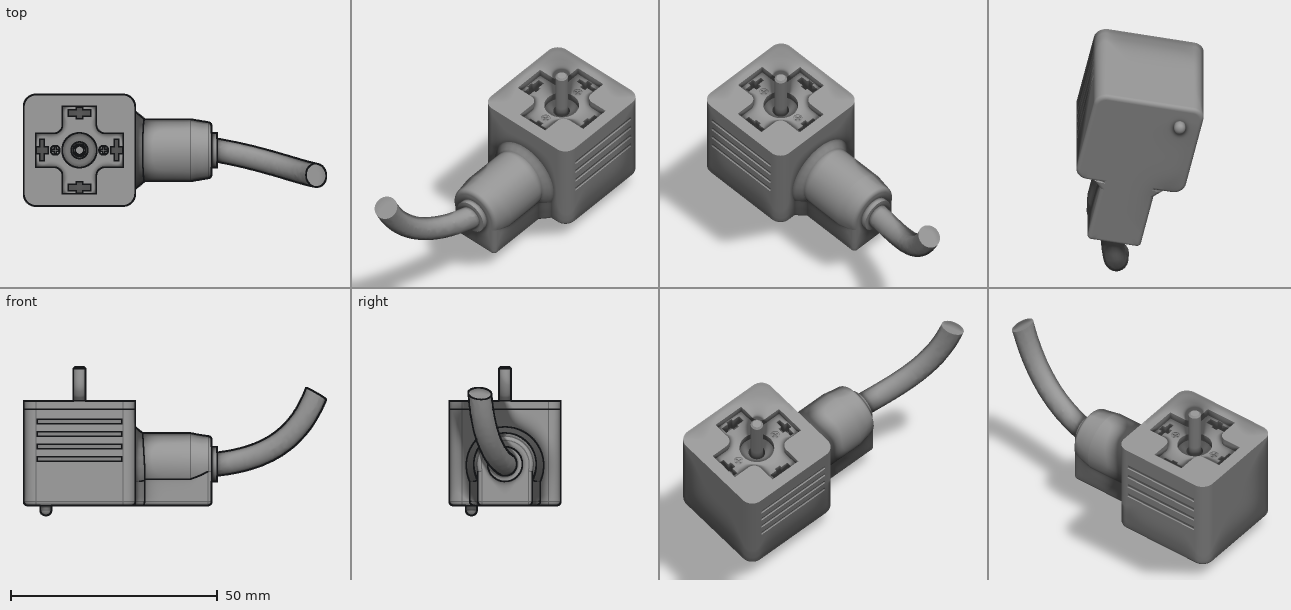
import cadquery as cq
import math

block_side = 27.0
corner_radius = 3.0
housing_top = 23.4
gasket_thickness = 2.0
gasket_top = housing_top + gasket_thickness
bottom_edge_radius = 1.0
block_face_x = block_side / 2

sleeve_z = 10.0
sleeve_radius = 7.55
foot_half_width = 6.6
taper_start_x = 26.8
outlet_end_x = 32.0
outlet_end_radius = 6.7
outlet_end_rounding = 1.0
flare_end_x = 15.75
flare_face_radius = 9.4
flare_drop = 0.4
flare_foot_half_width = 8.6
collar_diameter = 8.4
collar_length = 1.3
collar_end_x = outlet_end_x + collar_length

groove_count = 4
groove_length = 20.4
groove_height = 1.1
groove_depth = 0.45
groove_pitch = 3.0
lowest_groove_z = 11.3

cross_length = 21.2
cross_width = 8.2
cross_corner_radius = 2.05

socket_offset = 9.0
socket_depth = 3.65
socket_stem_length = 2.85
socket_stem_width = 1.6
end_socket_bar = (5.5, 1.7)
side_socket_bar = (1.1, 5.2)

mark_offset = 5.85
mark_diameter = 2.3
mark_depth = 0.2
mark_slot_length = 1.7
mark_slot_width = 0.45
mark_slot_depth = 0.45

recess_diameter = 8.4
recess_depth = 2.0
screw_hole_diameter = 4.0
screw_hole_depth = 7.3
screw_diameter = 3.0
screw_top = 33.55
screw_chamfer = 0.45

peg_diameter = 2.8
peg_x = -8.1
peg_y = -8.1
peg_length = 2.4

cable_diameter = 5.7
cable_middle = (46.0, -2.9, 13.6)
cable_end = (57.3, -6.1, 27.1)
cable_start_direction = (1, -0.17, 0.12)
cable_end_direction = (0.36, -0.07, 0.92)


def make_outlet():
    """Sleeve, foot and collar, all starting inside the housing block."""
    sleeve = (
        cq.Workplane("XZ", origin=(0, 0, sleeve_z))
        .moveTo(0, 0)
        .lineTo(0, sleeve_radius)
        .lineTo(taper_start_x, sleeve_radius)
        .lineTo(outlet_end_x, outlet_end_radius)
        .lineTo(outlet_end_x, 0)
        .close()
        .revolve(360, (0, 0, 0), (1, 0, 0))
        .faces(">X")
        .edges()
        .fillet(outlet_end_rounding)
    )
    foot = (
        cq.Workplane("XY")
        .box(outlet_end_x, 2 * foot_half_width, sleeve_z, centered=(False, True, False))
        .edges("|Z and >X")
        .fillet(outlet_end_rounding)
        .faces("<Z")
        .edges("not <X")
        .fillet(bottom_edge_radius)
    )
    collar = (
        cq.Workplane("YZ", origin=(0, 0, sleeve_z))
        .circle(collar_diameter / 2)
        .extrude(collar_end_x)
    )
    return sleeve.union(foot).union(collar)


def make_flare():
    """Cone and splayed foot sides where the outlet meets the housing wall."""
    flare_length = flare_end_x - block_face_x
    cone = cq.Workplane(
        cq.Solid.makeCone(
            flare_face_radius,
            sleeve_radius,
            flare_length,
            cq.Vector(block_face_x, 0, sleeve_z - flare_drop),
            cq.Vector(1, 0, 0),
        )
    )
    foot = (
        cq.Workplane("XY")
        .polyline(
            [
                (block_face_x, -flare_foot_half_width),
                (flare_end_x, -foot_half_width),
                (flare_end_x, foot_half_width),
                (block_face_x, flare_foot_half_width),
            ]
        )
        .close()
        .extrude(sleeve_z - flare_drop)
        .faces("<Z")
        .edges("not |Y")
        .fillet(bottom_edge_radius)
    )
    return cone.union(foot)


def make_grooves():
    """Cutters for a stack of shallow grooves on each side wall."""
    grooves = cq.Workplane("XY")
    for side in (-1, 1):
        for index in range(groove_count):
            grooves = grooves.union(
                cq.Workplane("XY")
                .box(groove_length, 2 * groove_depth, groove_height)
                .translate((0, side * block_side / 2, lowest_groove_z + index * groove_pitch))
            )
    return grooves


def make_plus(bar_along_x, bar_along_y, depth, center):
    """Plus-shaped cutter going down from the housing top; each bar is (X size, Y size)."""
    top = cq.Workplane("XY", origin=(*center, housing_top))
    return top.rect(*bar_along_x).extrude(-depth).union(top.rect(*bar_along_y).extrude(-depth))


def make_sockets():
    sockets = cq.Workplane("XY")
    for side in (-1, 1):
        end_socket = make_plus(
            end_socket_bar, (socket_stem_width, socket_stem_length), socket_depth, (0, side * socket_offset)
        )
        side_socket = make_plus(
            (socket_stem_length, socket_stem_width), side_socket_bar, socket_depth, (side * socket_offset, 0)
        )
        sockets = sockets.union(end_socket).union(side_socket)
    return sockets


def make_marks():
    marks = cq.Workplane("XY")
    for side in (-1, 1):
        center = (side * mark_offset, 0)
        top = cq.Workplane("XY", origin=(*center, housing_top))
        dimple = top.circle(mark_diameter / 2).extrude(-mark_depth)
        slots = make_plus(
            (mark_slot_length, mark_slot_width), (mark_slot_width, mark_slot_length), mark_slot_depth, center
        )
        marks = marks.union(dimple).union(slots)
    return marks


def make_housing():
    """Rounded block with the cable outlet, grooves and everything sunk into its top."""
    block = (
        cq.Workplane("XY")
        .rect(block_side, block_side)
        .extrude(housing_top)
        .edges("|Z")
        .fillet(corner_radius)
        .faces("<Z")
        .edges()
        .fillet(bottom_edge_radius)
    )
    top = cq.Workplane("XY", origin=(0, 0, housing_top))
    recess = top.circle(recess_diameter / 2).extrude(-recess_depth)
    screw_hole = top.circle(screw_hole_diameter / 2).extrude(-screw_hole_depth)
    return (
        block.union(make_outlet())
        .union(make_flare())
        .cut(make_grooves())
        .cut(recess)
        .cut(screw_hole)
        .cut(make_sockets())
        .cut(make_marks())
    )


def make_gasket():
    """Plate on the housing top with a cross-shaped opening."""
    plane = cq.Workplane("XY", origin=(0, 0, housing_top))
    plate = plane.rect(block_side, block_side).extrude(gasket_thickness).edges("|Z").fillet(corner_radius)
    arm_x = plane.rect(cross_length, cross_width).extrude(gasket_thickness)
    arm_y = plane.rect(cross_width, cross_length).extrude(gasket_thickness)
    inner_corners = cq.selectors.BoxSelector(
        (-cross_width, -cross_width, housing_top), (cross_width, cross_width, gasket_top)
    )
    opening = arm_x.union(arm_y).edges("|Z").edges(inner_corners).fillet(cross_corner_radius)
    return plate.cut(opening)


def make_screw():
    """Screw standing on the floor of its hole."""
    floor_z = housing_top - screw_hole_depth
    return (
        cq.Workplane("XY", origin=(0, 0, floor_z))
        .circle(screw_diameter / 2)
        .extrude(screw_top - floor_z)
        .faces(">Z")
        .chamfer(screw_chamfer)
    )


def make_peg():
    """Peg with a hemispherical end, seated against the housing underside."""
    radius = peg_diameter / 2
    shank_end = radius - peg_length
    arc_offset = radius * math.sin(math.radians(45))
    return (
        cq.Workplane("XZ", origin=(peg_x, peg_y, 0))
        .lineTo(radius, 0)
        .lineTo(radius, shank_end)
        .threePointArc((arc_offset, shank_end - arc_offset), (0, -peg_length))
        .close()
        .revolve(360, (0, 0, 0), (0, 1, 0))
    )


def make_cable():
    """Cable swept along a spline from the end face of the collar."""
    start = (collar_end_x, 0, sleeve_z)
    centreline = cq.Edge.makeSpline(
        [cq.Vector(*point) for point in (start, cable_middle, cable_end)],
        tangents=[cq.Vector(*cable_start_direction), cq.Vector(*cable_end_direction)],
    )
    return cq.Workplane("YZ", origin=start).circle(cable_diameter / 2).sweep(cq.Workplane(centreline))


housing = make_housing()
gasket = make_gasket()
screw = make_screw()
peg = make_peg()
cable = make_cable()

result = cq.Compound.makeCompound([housing.val(), gasket.val(), screw.val(), peg.val(), cable.val()])